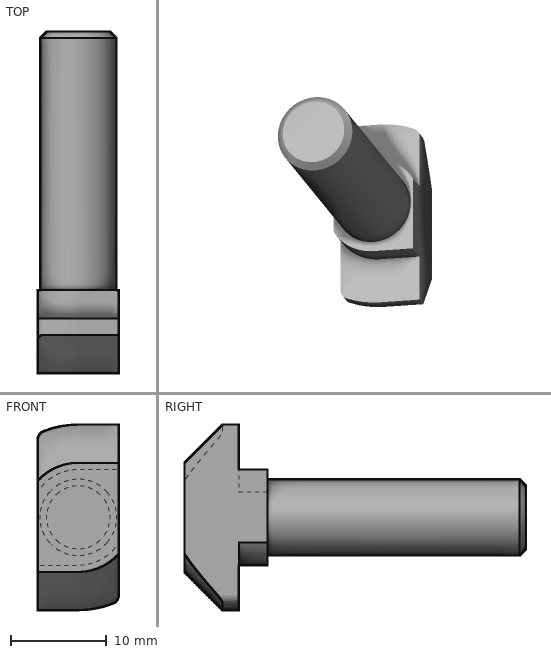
import cadquery as cq
import math

width = 8.5
head_length = 19.4
head_height = 5.7
head_chamfer = 4.0
corner_radius = 1.0
neck_length = 10.0
neck_height = 3.0
shank_diameter = 8.0
grip_length = 30.0
tip_chamfer = 0.7

half_width = width / 2
head_radius = head_length / 2
rim_height = head_height - head_chamfer
face_radius = head_radius - head_chamfer
edge_margin = 0.1


def side_height(radius):
    """Z where an arc about the bolt axis meets the flat side."""
    return math.sqrt(radius**2 - half_width**2)


def turned_block(radius, y_start, height):
    """Block with two diagonally opposite corners rounded about the bolt axis."""
    side_z = side_height(radius)
    mid_angle = math.asin(half_width / radius) / 2
    mid_x = radius * math.sin(mid_angle)
    mid_z = radius * math.cos(mid_angle)
    return (
        cq.Workplane("XZ", origin=(0, y_start, 0))
        .moveTo(half_width, radius)
        .lineTo(0, radius)
        .threePointArc((-mid_x, mid_z), (-half_width, side_z))
        .lineTo(-half_width, -radius)
        .lineTo(0, -radius)
        .threePointArc((mid_x, -mid_z), (half_width, -side_z))
        .close()
        .extrude(height)
    )


def straight_bevel():
    """Prism bounding the head with both ends bevelled across the full width."""
    return (
        cq.Workplane("YZ", origin=(-half_width, 0, 0))
        .moveTo(0, -head_radius)
        .lineTo(0, head_radius)
        .lineTo(-rim_height, head_radius)
        .lineTo(-head_height, face_radius)
        .lineTo(-head_height, -face_radius)
        .lineTo(-rim_height, -head_radius)
        .close()
        .extrude(width)
    )


def conical_bevel():
    """Turned body whose cone continues the bevel around the rounded corners."""
    return (
        cq.Workplane("XY")
        .lineTo(head_radius, 0)
        .lineTo(head_radius, -rim_height)
        .lineTo(face_radius, -head_height)
        .lineTo(0, -head_height)
        .close()
        .revolve(360, (0, 0, 0), (0, 1, 0))
    )


def square_corners():
    """The two diagonal quarters of the head that keep only the straight bevel."""
    quarter = cq.Workplane("XY").box(half_width, head_height, head_radius, centered=False)
    quarter = quarter.translate((0, -head_height, 0))
    opposite = quarter.rotate((0, 0, 0), (0, 1, 0), 180)
    return quarter.union(opposite)


def round_side_edge(head, side):
    """Round the edge where an arc meets the flat side (side = 1 top, -1 bottom)."""
    edge_x = -side * half_width
    edge_z = side * side_height(head_radius)
    pick_box = cq.selectors.BoxSelector(
        (edge_x - edge_margin, -head_height, edge_z - edge_margin),
        (edge_x + edge_margin, 0, edge_z + edge_margin),
    )
    return head.edges("|Y").edges(pick_box).fillet(corner_radius)


def make_head():
    """Hammer head with rounded diagonal corners and bevelled ends."""
    head = turned_block(head_radius, 0, head_height)
    for side in (1, -1):
        head = round_side_edge(head, side)
    envelope = conical_bevel().union(square_corners())
    return head.intersect(envelope).intersect(straight_bevel())


def make_shank():
    """Round shank from the head underside, through the neck, to a chamfered tip."""
    return (
        cq.Workplane("XZ")
        .circle(shank_diameter / 2)
        .extrude(-grip_length)
        .faces(">Y")
        .chamfer(tip_chamfer)
    )


def make_neck():
    """Anti-turn neck between the head and the exposed shank."""
    return turned_block(neck_length / 2, neck_height, neck_height)


result = make_head().union(make_neck()).union(make_shank())